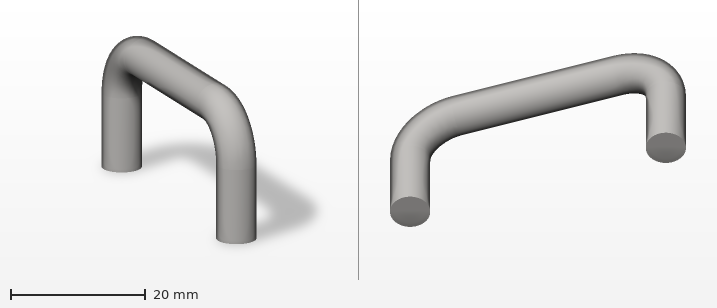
import cadquery as cq

length = 46.0
height = 22.0
rod_diameter = 6.0
bend_radius = 7.5

rod_radius = rod_diameter / 2
leg_x = length / 2 - rod_radius
bar_z = height - rod_radius

centreline = (
    cq.Workplane("XZ")
    .moveTo(-leg_x, 0)
    .lineTo(-leg_x, bar_z - bend_radius)
    .radiusArc((-leg_x + bend_radius, bar_z), bend_radius)
    .lineTo(leg_x - bend_radius, bar_z)
    .radiusArc((leg_x, bar_z - bend_radius), bend_radius)
    .lineTo(leg_x, 0)
)

result = (
    cq.Workplane("XY")
    .center(-leg_x, 0)
    .circle(rod_radius)
    .sweep(centreline)
)